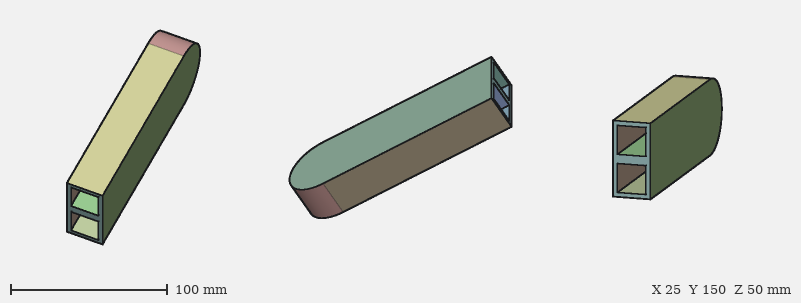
import cadquery as cq

length = 150.0
height = 50.0
width = 25.0
wall = 3.0

bend_radius = height / 2
straight_length = length - bend_radius


def u_shape(radius, thickness):
    """Solid with a flat end at Y = 0 and a half-round end at +Y, centred on X and Z."""
    return (
        cq.Workplane("YZ")
        .moveTo(0, -radius)
        .lineTo(straight_length, -radius)
        .threePointArc((straight_length + radius, 0), (straight_length, radius))
        .lineTo(0, radius)
        .close()
        .extrude(thickness / 2, both=True)
    )


passage_width = width - 2 * wall
passage = u_shape(bend_radius - wall, passage_width).cut(u_shape(wall, passage_width))

result = u_shape(bend_radius, width).cut(passage)